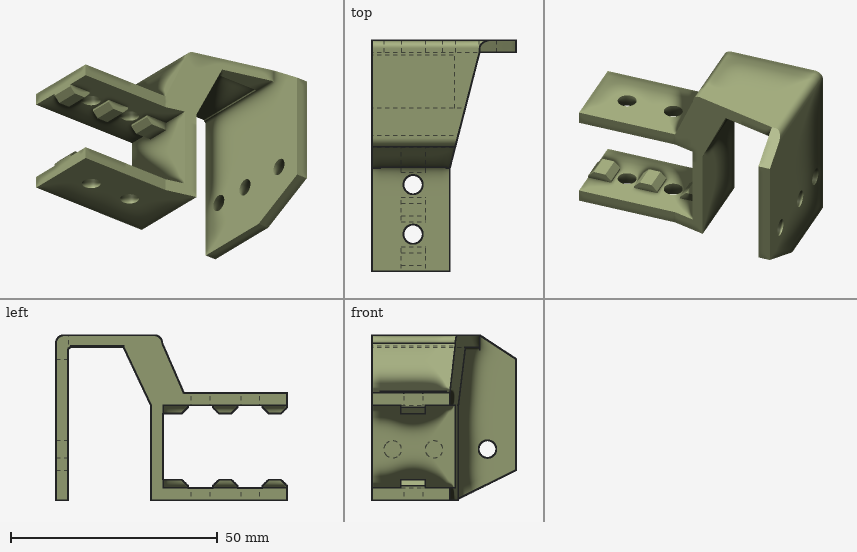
import cadquery as cq

total_width = 34.96
total_depth = 56.0
total_height = 40.0
wall = 3.0

channel_width = 18.9
channel_gap = 20.0
web_front = 30.0
web_back = web_front + wall
arm_underside = wall + channel_gap
arm_top = arm_underside + wall

plate_front = total_depth - wall
plate_top_width = 26.1
plate_corner_top = 34.2
plate_corner_bottom = 7.3
plate_foot_width = 20.2
plate_hole_diameter = 4.2
plate_hole_height = 12.4
plate_hole_xs = (5.0, 15.0, 28.0)

slope_foot = 25.0
shoulder_front = 30.2
slope_inner_head = 39.6
roof_underside = total_height - wall
outer_radius = 2.0
inner_radius = 0.6

recess_width = 20.0
recess_depth = 0.4
recess_back = plate_front - inner_radius

seat_width = 16.0
seat_depth = 0.2

grip_center_x = 10.0
tooth_width = 6.0
tooth_length = 6.0
tooth_height = 2.0
tooth_chamfer = 1.5
tooth_pitch = 12.0
tooth_count = 3
bolt_hole_diameter = 4.6


def make_bracket_profile():
    """Side profile in the YZ plane, extruded across the full width."""
    body = (
        cq.Workplane("YZ")
        .moveTo(0, 0)
        .lineTo(web_back, 0)
        .lineTo(web_back, arm_underside)
        .lineTo(slope_inner_head, roof_underside)
        .lineTo(plate_front, roof_underside)
        .lineTo(plate_front, 0)
        .lineTo(total_depth, 0)
        .lineTo(total_depth, total_height)
        .lineTo(shoulder_front + outer_radius, total_height)
        .radiusArc((shoulder_front, total_height - outer_radius), -outer_radius)
        .lineTo(slope_foot, arm_top)
        .lineTo(0, arm_top)
        .lineTo(0, arm_underside)
        .lineTo(web_front, arm_underside)
        .lineTo(web_front, wall)
        .lineTo(0, wall)
        .close()
        .extrude(total_width)
    )
    back_corner = cq.selectors.NearestToPointSelector((total_width / 2, total_depth, total_height))
    body = body.edges(back_corner).fillet(outer_radius)
    inner_corner = cq.selectors.NearestToPointSelector((total_width / 2, plate_front, roof_underside))
    return body.edges(inner_corner).fillet(inner_radius)


def make_plan_envelope():
    """Plan outline: narrow channel, flaring bridge and full-width back plate."""
    return (
        cq.Workplane("XY")
        .moveTo(0, 0)
        .lineTo(channel_width, 0)
        .lineTo(channel_width, slope_foot)
        .lineTo(plate_top_width, plate_front)
        .lineTo(total_width, plate_front)
        .lineTo(total_width, total_depth)
        .lineTo(0, total_depth)
        .close()
        .extrude(total_height)
    )


def trim_plate_corners(body):
    """Trim the back plate to its outline with two sloping corners."""
    plate_outline = (
        cq.Workplane("XZ", origin=(0, total_depth, 0))
        .moveTo(0, 0)
        .lineTo(plate_foot_width, 0)
        .lineTo(total_width, plate_corner_bottom)
        .lineTo(total_width, plate_corner_top)
        .lineTo(plate_top_width, total_height)
        .lineTo(0, total_height)
        .close()
        .extrude(wall)
    )
    plate_block = (
        cq.Workplane("XY", origin=(0, plate_front, 0))
        .box(total_width, wall, total_height, centered=False)
    )
    return body.cut(plate_block.cut(plate_outline))


def cut_roof_recess(body):
    """Thin the roof between the sloping wall and the rounded inner corner."""
    recess_length = recess_back - slope_inner_head
    recess = cq.Workplane("XY").box(recess_width, recess_length, recess_depth, centered=False)
    return body.cut(recess.translate((0, slope_inner_head, roof_underside)))


def cut_slope_seat(body):
    """Square off the foot of the slope above the upper arm."""
    seat = cq.Workplane("XY").box(seat_width, slope_foot + seat_depth, wall, centered=False)
    return body.cut(seat.translate((grip_center_x - seat_width / 2, 0, arm_top)))


def make_tooth(y_start, base_z, direction, chamfer_back):
    """Tooth standing on an arm; direction is +1 for upward and -1 for downward."""
    y_end = y_start + tooth_length
    shoulder_z = base_z + direction * (tooth_height - tooth_chamfer)
    crest_z = base_z + direction * tooth_height
    outline = [(y_start, base_z), (y_start, shoulder_z), (y_start + tooth_chamfer, crest_z)]
    if chamfer_back:
        outline += [(y_end - tooth_chamfer, crest_z), (y_end, shoulder_z)]
    else:
        outline.append((y_end, crest_z))
    outline.append((y_end, base_z))
    return (
        cq.Workplane("YZ", origin=(grip_center_x - tooth_width / 2, 0, 0))
        .polyline(outline)
        .close()
        .extrude(tooth_width)
    )


def add_teeth(body):
    """Facing rows of teeth on both arms; the last tooth of a row runs into the web."""
    for index in range(tooth_count):
        chamfer_back = index < tooth_count - 1
        y_start = index * tooth_pitch
        body = body.union(make_tooth(y_start, wall, 1, chamfer_back))
        body = body.union(make_tooth(y_start, arm_underside, -1, chamfer_back))
    return body


def cut_bolt_holes(body):
    """Vertical bolt holes through both arms, midway between neighbouring teeth."""
    first_y = (tooth_length + tooth_pitch) / 2
    centers = [(grip_center_x, first_y + index * tooth_pitch) for index in range(tooth_count - 1)]
    holes = cq.Workplane("XY").pushPoints(centers).circle(bolt_hole_diameter / 2).extrude(total_height)
    return body.cut(holes)


def cut_plate_holes(body):
    """Row of mounting holes through the back plate."""
    centers = [(x, plate_hole_height) for x in plate_hole_xs]
    holes = (
        cq.Workplane("XZ", origin=(0, total_depth, 0))
        .pushPoints(centers)
        .circle(plate_hole_diameter / 2)
        .extrude(wall)
    )
    return body.cut(holes)


bracket = make_bracket_profile().intersect(make_plan_envelope())
bracket = trim_plate_corners(bracket)
bracket = cut_roof_recess(bracket)
bracket = cut_slope_seat(bracket)
bracket = add_teeth(bracket)
bracket = cut_bolt_holes(bracket)
result = cut_plate_holes(bracket)